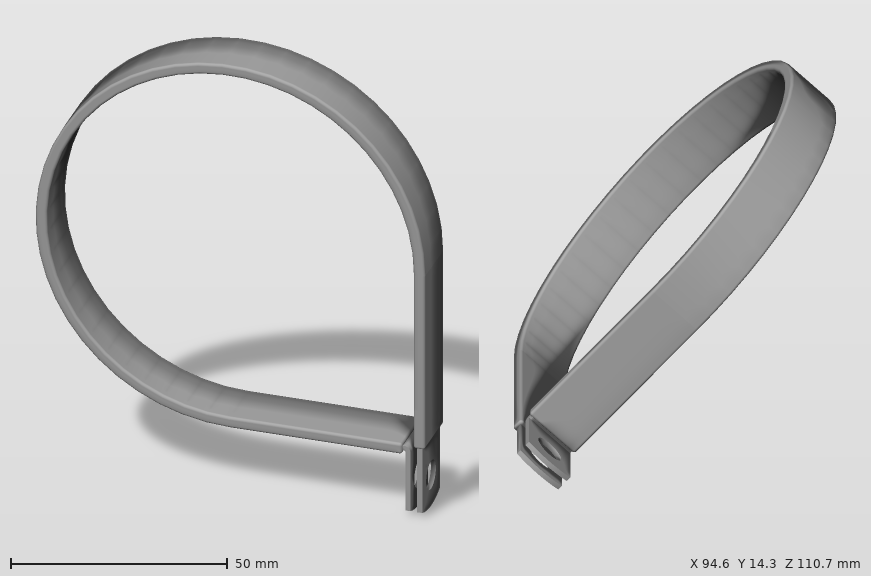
import cadquery as cq
import math

outer_radius = 47.3
cushion_thickness = 2.8
cushion_width = 14.3
edge_fillet = 0.7
upright_length = 45.3
foot_length = 41.7

band_thickness = 1.2
band_width = cushion_width - 2 * edge_fillet
bend_radius = 1.4
bent_tab_outer_x = 43.6
overall_height = 110.7
tab_bottom = outer_radius - overall_height
tip_radius = 15.8
hole_diameter = 7.2
hole_above_tip = 8.1

mid_radius = outer_radius - cushion_thickness / 2
inner_radius = outer_radius - cushion_thickness
band_outer_radius = mid_radius + band_thickness / 2
band_inner_radius = mid_radius - band_thickness / 2


def extrude_centred(profile, width):
    """Extrude an XZ profile symmetrically about the plane Y = 0."""
    return profile.extrude(width / 2, both=True)


def make_cushion():
    """Three-quarter loop with a straight upright and a straight foot."""
    diagonal = math.sqrt(0.5)
    profile = (
        cq.Workplane("XZ")
        .moveTo(outer_radius, -upright_length)
        .lineTo(outer_radius, 0)
        .threePointArc((-outer_radius * diagonal, outer_radius * diagonal), (0, -outer_radius))
        .lineTo(foot_length, -outer_radius)
        .lineTo(foot_length, -inner_radius)
        .lineTo(0, -inner_radius)
        .threePointArc((-inner_radius * diagonal, inner_radius * diagonal), (inner_radius, 0))
        .lineTo(inner_radius, -upright_length)
        .close()
    )
    return extrude_centred(profile, cushion_width).edges().fillet(edge_fillet)


def make_straight_tab():
    """Tab continuing straight down from inside the upright."""
    profile = (
        cq.Workplane("XZ")
        .moveTo(band_inner_radius, -upright_length / 2)
        .lineTo(band_outer_radius, -upright_length / 2)
        .lineTo(band_outer_radius, tab_bottom)
        .lineTo(band_inner_radius, tab_bottom)
        .close()
    )
    return extrude_centred(profile, band_width)


def make_bent_tab():
    """Tab leaving the foot horizontally and bending straight down."""
    inner_x = bent_tab_outer_x - band_thickness
    inner_bend = bend_radius - band_thickness
    profile = (
        cq.Workplane("XZ")
        .moveTo(foot_length / 2, -band_inner_radius)
        .lineTo(bent_tab_outer_x - bend_radius, -band_inner_radius)
        .radiusArc((bent_tab_outer_x, -band_inner_radius - bend_radius), bend_radius)
        .lineTo(bent_tab_outer_x, tab_bottom)
        .lineTo(inner_x, tab_bottom)
        .lineTo(inner_x, -band_outer_radius - inner_bend)
        .radiusArc((inner_x - inner_bend, -band_outer_radius), -inner_bend)
        .lineTo(foot_length / 2, -band_outer_radius)
        .close()
    )
    return extrude_centred(profile, band_width)


def make_tab_outline():
    """Envelope with the rounded tip and bolt hole shared by both tabs."""
    half_width = band_width / 2
    tip_rise = tip_radius - math.sqrt(tip_radius**2 - half_width**2)
    return (
        cq.Workplane("YZ")
        .moveTo(-half_width, 0)
        .lineTo(-half_width, tab_bottom + tip_rise)
        .threePointArc((0, tab_bottom), (half_width, tab_bottom + tip_rise))
        .lineTo(half_width, 0)
        .close()
        .moveTo(0, tab_bottom + hole_above_tip)
        .circle(hole_diameter / 2)
        .extrude(outer_radius)
    )


tabs = make_straight_tab().union(make_bent_tab()).intersect(make_tab_outline())

result = make_cushion().union(tabs)